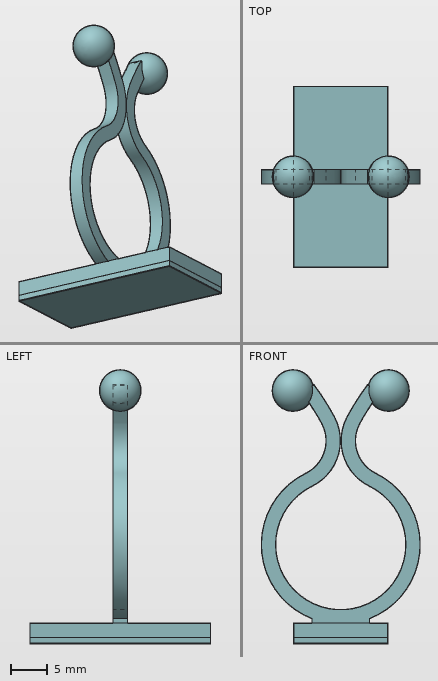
import cadquery as cq
import math

base_width = 13.0
base_length = 25.0
liner_thickness = 0.1
pad_thickness = 0.75
plate_thickness = 2.0

total_height = 37.9
ring_outer_radius = 11.0
strip_thickness = 2.0
strip_depth = 2.0
ring_center_z = 13.72
neck_inner_radius = 5.0
neck_gap = 0.08
arm_outer_radius = 33.73
arm_start_angle = 28.0
arm_end_angle = 37.0
foot_width = 7.95

ball_radius = 2.88
ball_offset_x = 6.6

pad_bottom = liner_thickness
plate_bottom = pad_bottom + pad_thickness
plate_top = plate_bottom + plate_thickness
ring_inner_radius = ring_outer_radius - strip_thickness
neck_outer_radius = neck_inner_radius + strip_thickness
ball_center_z = total_height - ball_radius

neck_center_x = neck_outer_radius + neck_gap / 2
center_distance = ring_outer_radius + neck_inner_radius
ring_end_angle = math.degrees(math.acos(neck_center_x / center_distance))
neck_center_z = ring_center_z + center_distance * math.sin(math.radians(ring_end_angle))


def slab(bottom, thickness):
    """Rectangular layer of the base stack."""
    return (
        cq.Workplane("XY")
        .workplane(offset=bottom)
        .rect(base_width, base_length)
        .extrude(thickness)
    )


def circle_point(center, radius, angle):
    """XZ point on a circle, angle in degrees from +X."""
    turn = math.radians(angle)
    return (center[0] + radius * math.cos(turn), center[1] + radius * math.sin(turn))


def extrude_strip(profile):
    """Extrude an XZ profile to the strip depth, centered on Y = 0."""
    return profile.extrude(strip_depth / 2, both=True)


def make_band(center, outer_radius, start_angle, end_angle):
    """Strip bent along a circular arc, angles in degrees from +X."""
    inner_radius = outer_radius - strip_thickness
    middle_angle = (start_angle + end_angle) / 2
    return extrude_strip(
        cq.Workplane("XZ")
        .moveTo(*circle_point(center, outer_radius, start_angle))
        .threePointArc(
            circle_point(center, outer_radius, middle_angle),
            circle_point(center, outer_radius, end_angle),
        )
        .lineTo(*circle_point(center, inner_radius, end_angle))
        .threePointArc(
            circle_point(center, inner_radius, middle_angle),
            circle_point(center, inner_radius, start_angle),
        )
        .close()
    )


def make_ring():
    """Open ring whose ends meet the neck bends."""
    return make_band(
        (0, ring_center_z), ring_outer_radius, -180 - ring_end_angle, ring_end_angle
    )


def make_right_arm():
    """Neck bend and the flatter flared arm tangent to it, on the +X side."""
    neck_center = (neck_center_x, neck_center_z)
    bend_start = 180 + ring_end_angle
    bend_end = 180 - arm_start_angle
    neck = make_band(neck_center, neck_outer_radius, bend_start, bend_end)

    arm_center = circle_point(neck_center, neck_outer_radius - arm_outer_radius, bend_end)
    arm = make_band(arm_center, arm_outer_radius, bend_end, 180 - arm_end_angle)
    return neck.union(arm)


def make_foot():
    """Block under the ring that joins it to the plate."""
    foot = (
        cq.Workplane("XY")
        .workplane(offset=plate_top)
        .rect(foot_width, strip_depth)
        .extrude(ring_center_z - plate_top)
    )
    ring_opening = extrude_strip(
        cq.Workplane("XZ").center(0, ring_center_z).circle(ring_inner_radius)
    )
    return foot.cut(ring_opening)


def make_clip():
    """Plate, foot, ring, arms and ball tips as one molded solid."""
    ball = cq.Workplane("XY").sphere(ball_radius).translate((ball_offset_x, 0, ball_center_z))
    right_side = make_right_arm().union(ball)
    return (
        slab(plate_bottom, plate_thickness)
        .union(make_foot())
        .union(make_ring())
        .union(right_side)
        .union(right_side.mirror("YZ"))
    )


clip = make_clip()
adhesive_pad = slab(pad_bottom, pad_thickness)
liner = slab(0, liner_thickness)

result = cq.Compound.makeCompound([clip.solids().val(), adhesive_pad.val(), liner.val()])